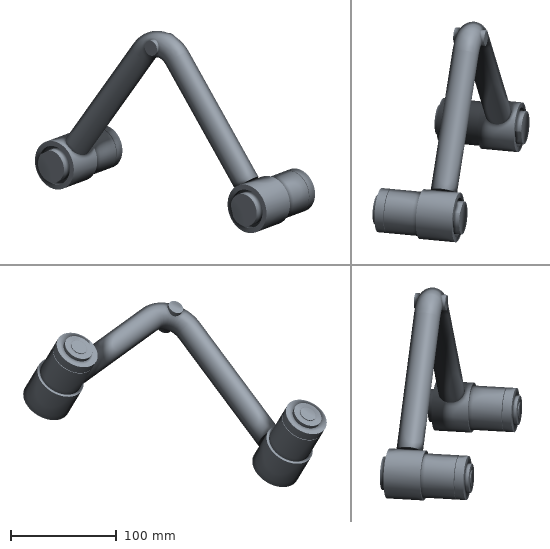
import cadquery as cq
import math


hub_spacing = 234.5
arm_angle = 52.5
link_tilt = 0.8
tube_dia = 25.0
bend_radius = tube_dia
boss_dia = 15.0
boss_length = 30.2
collar_dia = 47.5
collar_length = 35.2
arm_start = 23.0

neck_dia = 37.5
neck_recess = 5.0
barrel_dia = 42.0
barrel_length = 32.0

shaft_dia = 31.5
shaft_projection = 5.0
flat_length = 6.5
flat_offset = 14.7
flat_angle = 67.0
cap_gap = 0.5
cap_length = 8.7
rim_dia = 28.0
rim_length = 3.7
tip_dia = 15.5
tip_length = 0.8

collar_front = -collar_length / 2
collar_rear = collar_length / 2
neck_front = collar_front + neck_recess
barrel_rear = collar_rear + barrel_length
pin_front = collar_front - shaft_projection
cap_front = barrel_rear + cap_gap
cap_rear = cap_front + cap_length
rim_rear = cap_rear + rim_length
tip_rear = rim_rear + tip_length


def cylinder(diameter, y_start, y_end):
    """Cylinder on the Y axis between two Y positions."""
    circle = cq.Workplane("XZ", origin=(0, y_start, 0)).circle(diameter / 2)
    return circle.extrude(y_start - y_end)


def turn(body, angle):
    """Turn a body about the Y axis, from +X towards +Z."""
    return body.rotate((0, 0, 0), (0, 1, 0), -angle)


hubs = [(-hub_spacing / 2, arm_angle), (hub_spacing / 2, 180 - arm_angle)]


def place_at_hub(body, hub_x, arm_direction):
    """Move a body whose arm points along +X from the origin to its collar."""
    return turn(turn(body, arm_direction).translate((hub_x, 0, 0)), link_tilt)


def make_tube():
    """Round tube: two straight arms joined by a bend."""
    slope = math.radians(arm_angle)
    apex_z = hub_spacing / 2 * math.tan(slope) - bend_radius * (1 / math.cos(slope) - 1)
    start_x = hub_spacing / 2 - arm_start * math.cos(slope)
    start_z = arm_start * math.sin(slope)
    bend_x = bend_radius * math.sin(slope)
    bend_z = apex_z - bend_radius * (1 - math.cos(slope))
    path = (
        cq.Workplane("XZ")
        .moveTo(-start_x, start_z)
        .lineTo(-bend_x, bend_z)
        .threePointArc((0, apex_z), (bend_x, bend_z))
        .lineTo(start_x, start_z)
    )
    arm_axis = cq.Vector(math.cos(slope), 0, math.sin(slope))
    end_plane = cq.Plane(origin=(-start_x, 0, start_z), xDir=(0, 1, 0), normal=arm_axis)
    tube = cq.Workplane(end_plane).circle(tube_dia / 2).sweep(path)
    boss = cylinder(boss_dia, -boss_length / 2, boss_length / 2).translate((0, 0, apex_z))
    return turn(tube.union(boss), link_tilt)


def make_link():
    """Tube with its two bored collars."""
    link = make_tube()
    for hub in hubs:
        link = link.union(place_at_hub(cylinder(collar_dia, collar_front, collar_rear), *hub))
    for hub in hubs:
        link = link.cut(place_at_hub(cylinder(neck_dia, collar_front, collar_rear), *hub))
    return link


def make_sleeve():
    """Barrel behind the collar, with a neck inside the collar and a bore for the pin."""
    neck = cylinder(neck_dia, neck_front, collar_rear)
    barrel = cylinder(barrel_dia, collar_rear, barrel_rear)
    return neck.union(barrel).cut(cylinder(shaft_dia, neck_front, barrel_rear))


def make_pin():
    """Shaft with a flat on its exposed front end and a stepped cap on its rear end."""
    flat_cut = (
        cq.Workplane("XY")
        .box(shaft_dia, flat_length, shaft_dia, centered=(False, False, True))
        .translate((flat_offset, pin_front, 0))
    )
    shaft = cylinder(shaft_dia, pin_front, cap_front).cut(turn(flat_cut, flat_angle))
    cap = cylinder(barrel_dia, cap_front, cap_rear)
    rim = cylinder(rim_dia, cap_rear, rim_rear)
    tip = cylinder(tip_dia, rim_rear, tip_rear)
    return shaft.union(cap).union(rim).union(tip)


link = make_link()
sleeves = [place_at_hub(make_sleeve(), *hub) for hub in hubs]
pins = [place_at_hub(make_pin(), *hub) for hub in hubs]

result = cq.Compound.makeCompound([body.val() for body in [link, *sleeves, *pins]])